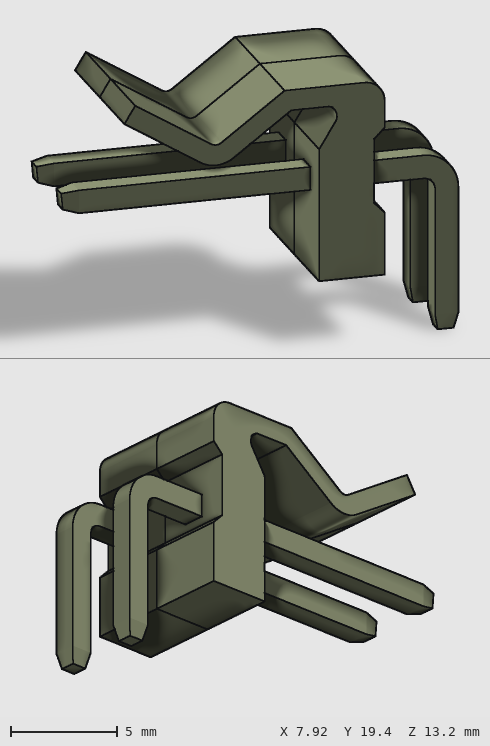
import cadquery as cq
import math

POSITIONS = 2
OVERALL_WIDTH = 7.92
OVERALL_LENGTH = 19.37
OVERALL_HEIGHT = 13.2
PITCH = OVERALL_WIDTH / POSITIONS

BODY_DEPTH = 3.22
BODY_HEIGHT = 9.63
BACK_TOP_RADIUS = 1.0
RECESS_DEPTH = 0.52
RECESS_BOTTOM = 3.08
RECESS_TOP = 7.3
UNDERCUT_START = 6.55
UNDERCUT_ANGLE = 58
UNDERCUT_ARC_BOTTOM = 7.88
UNDERCUT_ARC_MIDDLE = (2.36, 8.25)
UNDERCUT_ARC_TOP_DEPTH = 2.73

LATCH_THICKNESS = 1.0
LATCH_BEND_DEPTH = 4.9
VALLEY_DEPTH = 8.23
VALLEY_HEIGHT = 7.19
LATCH_TIP_DEPTH = 12.2
VALLEY_RADIUS = 0.45

PIN_SIZE = 1.15
PIN_HEIGHT = 4.63
PIN_BACK = -4.03
PIN_FRONT = PIN_BACK + OVERALL_LENGTH
PIN_BOTTOM = BODY_HEIGHT - OVERALL_HEIGHT
PIN_INNER_RADIUS = 0.58
PIN_OUTER_RADIUS = PIN_INNER_RADIUS + PIN_SIZE
TAPER_LENGTH = 0.81
TIP_SIZE = 0.77
TIP_SLANT = 0.08
FRONT_TIP_RISE = 0.04


def side_plane(x):
    """Plane whose axes are depth (-Y) and height (Z), facing -X."""
    return cq.Plane(origin=(x, 0, 0), xDir=(0, -1, 0), normal=(-1, 0, 0))


def profile_box(x, width, depths, heights):
    """Box centred on x, between two depths and two heights."""
    return (
        cq.Workplane("XY")
        .box(width, depths[1] - depths[0], heights[1] - heights[0])
        .translate((x, -sum(depths) / 2, sum(heights) / 2))
    )


def edge_selector(x, depth, height):
    """Pick the X-parallel edge through a profile corner."""
    return cq.selectors.NearestToPointSelector((x, -depth, height))


def make_housing(x):
    """Housing block of one position, with its latch and the pin hole."""
    fall = math.atan2(BODY_HEIGHT - VALLEY_HEIGHT, VALLEY_DEPTH - LATCH_BEND_DEPTH)
    rise = math.atan2(BODY_HEIGHT - VALLEY_HEIGHT, LATCH_TIP_DEPTH - VALLEY_DEPTH)

    under_height = BODY_HEIGHT - LATCH_THICKNESS
    under_bend_depth = LATCH_BEND_DEPTH - LATCH_THICKNESS * math.tan(fall / 2)
    miter_length = LATCH_THICKNESS / math.cos((fall + rise) / 2)
    miter_tilt = (rise - fall) / 2
    under_valley = (
        VALLEY_DEPTH + miter_length * math.sin(miter_tilt),
        VALLEY_HEIGHT - miter_length * math.cos(miter_tilt),
    )
    under_tip = (
        LATCH_TIP_DEPTH + LATCH_THICKNESS * math.sin(rise),
        BODY_HEIGHT - LATCH_THICKNESS * math.cos(rise),
    )

    slope_run = (UNDERCUT_ARC_BOTTOM - UNDERCUT_START) / math.tan(math.radians(UNDERCUT_ANGLE))
    block_outline = [
        (0, 0),
        (BODY_DEPTH, 0),
        (BODY_DEPTH, UNDERCUT_START),
        (BODY_DEPTH - slope_run, UNDERCUT_ARC_BOTTOM),
    ]
    latch_and_back_outline = [
        (under_bend_depth, under_height),
        under_valley,
        under_tip,
        (LATCH_TIP_DEPTH, BODY_HEIGHT),
        (VALLEY_DEPTH, VALLEY_HEIGHT),
        (LATCH_BEND_DEPTH, BODY_HEIGHT),
        (0, BODY_HEIGHT),
        (0, RECESS_TOP),
        (RECESS_DEPTH, RECESS_TOP - RECESS_DEPTH),
        (RECESS_DEPTH, RECESS_BOTTOM + RECESS_DEPTH),
        (0, RECESS_BOTTOM),
    ]
    housing = (
        cq.Workplane(side_plane(x))
        .polyline(block_outline)
        .threePointArc(UNDERCUT_ARC_MIDDLE, (UNDERCUT_ARC_TOP_DEPTH, under_height))
        .polyline(latch_and_back_outline, includeCurrent=True)
        .close()
        .extrude(PITCH / 2, both=True)
    )

    housing = housing.edges(edge_selector(x, 0, BODY_HEIGHT)).fillet(BACK_TOP_RADIUS)
    housing = housing.edges(edge_selector(x, VALLEY_DEPTH, VALLEY_HEIGHT)).fillet(VALLEY_RADIUS)
    housing = housing.edges(edge_selector(x, *under_valley)).fillet(VALLEY_RADIUS + LATCH_THICKNESS)

    half = PIN_SIZE / 2
    hole = profile_box(x, PIN_SIZE, (0, BODY_DEPTH), (PIN_HEIGHT - half, PIN_HEIGHT + half))
    return housing.cut(hole)


def make_tip(plane, rise=0):
    """Tapered pin end along the plane's normal, its end face raised along the plane's y axis."""
    return (
        cq.Workplane(plane)
        .rect(PIN_SIZE, PIN_SIZE)
        .workplane(offset=TAPER_LENGTH)
        .center(0, rise)
        .rect(TIP_SIZE, TIP_SIZE)
        .loft(combine=True)
    )


def make_front_tip(x):
    """Front pin end, its end face slanting back towards the bottom."""
    start = PIN_FRONT - TAPER_LENGTH
    tip_plane = cq.Plane(origin=(x, -start, PIN_HEIGHT), xDir=(1, 0, 0), normal=(0, -1, 0))
    tip = make_tip(tip_plane, FRONT_TIP_RISE)
    tip_top = PIN_HEIGHT + FRONT_TIP_RISE + TIP_SIZE / 2
    cut_bottom = PIN_HEIGHT - PIN_SIZE
    cut_back = PIN_FRONT - TIP_SLANT * (tip_top - cut_bottom) / TIP_SIZE
    slant = (
        cq.Workplane(side_plane(x))
        .polyline([
            (PIN_FRONT, tip_top),
            (PIN_FRONT, cut_bottom),
            (cut_back, cut_bottom),
        ])
        .close()
        .extrude(PIN_SIZE, both=True)
    )
    return tip.cut(slant)


def make_pin(x):
    """Square right-angle pin with a tapered point at each end."""
    half = PIN_SIZE / 2
    top = PIN_HEIGHT + half
    leg_end = PIN_BOTTOM + TAPER_LENGTH
    arm_end = PIN_FRONT - TAPER_LENGTH
    outline = [
        (PIN_BACK, leg_end),
        (PIN_BACK + PIN_SIZE, leg_end),
        (PIN_BACK + PIN_SIZE, top - PIN_SIZE),
        (arm_end, top - PIN_SIZE),
        (arm_end, top),
        (PIN_BACK, top),
    ]
    pin = cq.Workplane(side_plane(x)).polyline(outline).close().extrude(half, both=True)
    pin = pin.edges(edge_selector(x, PIN_BACK, top)).fillet(PIN_OUTER_RADIUS)
    inner_corner = edge_selector(x, PIN_BACK + PIN_SIZE, top - PIN_SIZE)
    pin = pin.edges(inner_corner).fillet(PIN_INNER_RADIUS)

    leg_plane = cq.Plane(origin=(x, -(PIN_BACK + half), leg_end), xDir=(1, 0, 0), normal=(0, 0, -1))
    return pin.union(make_tip(leg_plane)).union(make_front_tip(x))


centres = [(i - (POSITIONS - 1) / 2) * PITCH for i in range(POSITIONS)]
housings = [make_housing(x) for x in centres]
pins = [make_pin(x) for x in centres]

result = cq.Compound.makeCompound([body.val() for body in housings + pins])